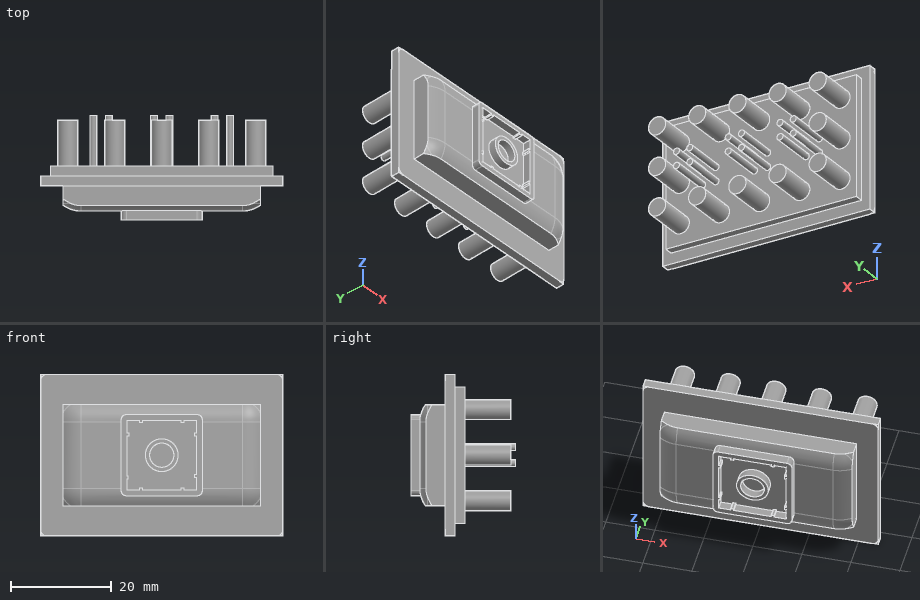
import cadquery as cq
import math


flange_length = 48.0
flange_height = 32.0
flange_thickness = 2.0
face_layer_thickness = 0.1
face_corner_radius = 1.25
back_plate_length = 44.15
back_plate_height = 27.1
back_plate_thickness = 1.95

dome_length = 39.2
dome_height = 20.05
dome_depth = 5.0
dome_radius = 6.0
dome_flat_length = 31.95
dome_flat_height = 13.15
corner_sphere_reach = 4.05

socket_side = 16.1
socket_opening = 13.8
socket_depth = 1.8
socket_root_depth = 2.9
socket_corner_radius = 1.0
ring_outer_diameter = 6.5
ring_inner_diameter = 4.8

rib_width = 0.6
rib_height = 0.4
rib_offset = 4.15
odd_rib_height = 0.25
odd_rib_offset = 4.4

pillar_diameter = 4.0
pillar_length = 9.05
pillar_pitch_x = 9.3
pillar_pitch_z = 9.0
pin_diameter = 1.4
pin_extra_length = 0.95
pin_length = pillar_length + pin_extra_length
pin_group_pitch = 12.0
pin_offset_x = 1.55
pin_offset_z = 1.6

overlap = 0.25

back_face = flange_thickness + back_plate_thickness
dome_front = -dome_depth


def block(length, height, y_start, y_end):
    """Box centred on X and Z between two Y positions."""
    return cq.Workplane("XY").box(length, y_end - y_start, height).translate((0, (y_start + y_end) / 2, 0))


def rod(diameter, x, z, y_start, y_end):
    """Cylinder along Y."""
    return cq.Workplane(cq.Solid.makeCylinder(
        diameter / 2, y_end - y_start, cq.Vector(x, y_start, z), cq.Vector(0, 1, 0)))


def make_corner_cap(start_angle):
    """Quarter turn about Y for a dome corner: a sphere cap that runs out into a tangent cone."""
    centre_y = dome_front + dome_radius
    slope_angle = math.asin(corner_sphere_reach / dome_radius)
    sphere_end_y = centre_y - dome_radius * math.cos(slope_angle)
    arc_middle = (dome_radius * math.sin(slope_angle / 2), centre_y - dome_radius * math.cos(slope_angle / 2))
    cone_end_x = corner_sphere_reach + (overlap - sphere_end_y) / math.tan(slope_angle)
    return (
        cq.Workplane("XY")
        .moveTo(0, dome_front)
        .threePointArc(arc_middle, (corner_sphere_reach, sphere_end_y))
        .lineTo(cone_end_x, overlap)
        .lineTo(0, overlap)
        .close()
        .revolve(90, (0, 0, 0), (0, 1, 0))
        .rotate((0, 0, 0), (0, 1, 0), start_angle)
    )


def make_rounded_band(flat_width, full_width, length):
    """Bar along Z whose front face is flat in the middle and rounded toward both X sides."""
    half_flat = flat_width / 2
    half_full = full_width / 2
    edge_angle = math.asin((half_full - half_flat) / dome_radius)
    edge_y = dome_front + dome_radius * (1 - math.cos(edge_angle))
    arc_middle_x = half_flat + dome_radius * math.sin(edge_angle / 2)
    arc_middle_y = dome_front + dome_radius * (1 - math.cos(edge_angle / 2))
    return (
        cq.Workplane("XY")
        .moveTo(-half_full, overlap)
        .lineTo(-half_full, edge_y)
        .threePointArc((-arc_middle_x, arc_middle_y), (-half_flat, dome_front))
        .lineTo(half_flat, dome_front)
        .threePointArc((arc_middle_x, arc_middle_y), (half_full, edge_y))
        .lineTo(half_full, overlap)
        .close()
        .extrude(length / 2, both=True)
    )


def make_dome():
    """Flat-fronted dome: two crossing rounded bands plus a cap in each corner."""
    upright_band = make_rounded_band(dome_flat_length, dome_length, dome_flat_height)
    level_band = make_rounded_band(dome_flat_height, dome_height, dome_flat_length)
    dome = upright_band.union(level_band.rotate((0, 0, 0), (0, 1, 0), 90))
    corner_length = (dome_length - dome_flat_length) / 2
    corner_height = (dome_height - dome_flat_height) / 2
    for side_x, side_z, start_angle in ((1, -1, 0), (-1, -1, 90), (-1, 1, 180), (1, 1, 270)):
        flat_corner_x = side_x * dome_flat_length / 2
        flat_corner_z = side_z * dome_flat_height / 2
        corner_space = block(corner_length, corner_height, dome_front, overlap).translate(
            (flat_corner_x + side_x * corner_length / 2, 0, flat_corner_z + side_z * corner_height / 2))
        cap = make_corner_cap(start_angle).translate((flat_corner_x, 0, flat_corner_z))
        dome = dome.union(cap.intersect(corner_space))
    return dome


def make_socket():
    """Square frame with a round ring inside it and two ribs on each inner wall."""
    front = dome_front - socket_depth
    root = dome_front + socket_root_depth
    frame = block(socket_side, socket_side, front, root).edges("|Y").fillet(socket_corner_radius)
    socket = frame.cut(block(socket_opening, socket_opening, front, dome_front))
    ring = rod(ring_outer_diameter, 0, 0, front, dome_front + overlap)
    socket = socket.union(ring.cut(rod(ring_inner_diameter, 0, 0, front, dome_front)))

    def rib(height, offset, wall_angle):
        """Rib on the +Z wall, turned about Y onto the wall at the given angle."""
        bar = block(rib_width, height + overlap, front, dome_front + overlap)
        centre_z = socket_opening / 2 + (overlap - height) / 2
        return bar.translate((offset, 0, centre_z)).rotate((0, 0, 0), (0, 1, 0), wall_angle)

    for wall_angle in (0, 90, 180):
        for offset in (-rib_offset, rib_offset):
            socket = socket.union(rib(rib_height, offset, wall_angle))
    socket = socket.union(rib(rib_height, rib_offset, 270))
    return socket.union(rib(odd_rib_height, -odd_rib_offset, 270))


def make_pillars():
    """Full rows of pillars above and below, and one more at each end of the middle row."""
    spots = [(column, row) for row in (-1, 1) for column in range(-2, 3)]
    spots += [(-2, 0), (2, 0)]
    pillars = cq.Workplane("XY")
    for column, row in spots:
        pillars = pillars.add(rod(
            pillar_diameter, column * pillar_pitch_x, row * pillar_pitch_z,
            back_face - overlap, back_face + pillar_length))
    return pillars.combine()


def make_pins():
    """Three groups of four pins along the middle of the back."""
    pins = cq.Workplane("XY")
    for group in (-1, 0, 1):
        for side_x in (-1, 1):
            for side_z in (-1, 1):
                pins = pins.add(rod(
                    pin_diameter, group * pin_group_pitch + side_x * pin_offset_x, side_z * pin_offset_z,
                    back_face - overlap, back_face + pin_length))
    return pins.combine()


def make_flange():
    """Square-cornered plate with a thin round-cornered layer on its front."""
    plate = block(flange_length, flange_height, face_layer_thickness, flange_thickness)
    face_layer = block(flange_length, flange_height, 0, face_layer_thickness)
    return plate.union(face_layer.edges("|Y").fillet(face_corner_radius))


back_plate = block(back_plate_length, back_plate_height, flange_thickness, back_face)

result = (
    make_flange()
    .union(back_plate)
    .union(make_dome())
    .union(make_socket())
    .union(make_pillars())
    .union(make_pins())
)